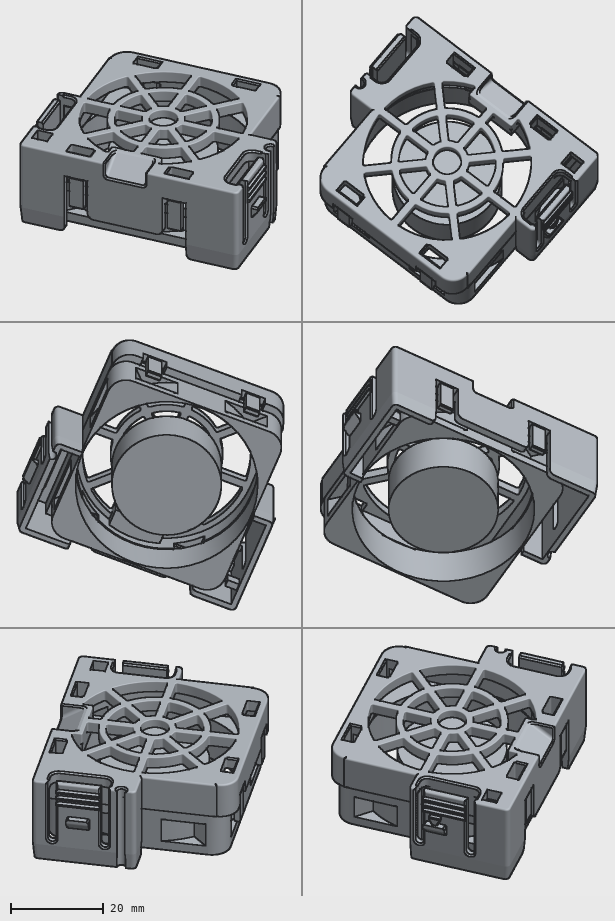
import cadquery as cq
import math


height = 20.0
depth = 43.6
back_y = depth / 2
front_y = -depth / 2
wide_left_x = -24.9
wide_right_x = 26.4
wide_back_y = 1.2
narrow_half_width = 20.05
wide_corner_radius = 1.05
back_corner_radius = 4.0
back_corner_step = 0.2
back_corner_y = 17.8
top_edge_radius = 0.45
foot_height = 3.9
foot_inset = 0.3
foot_back_inset = 0.1

plate_thickness = 2.6
plate_bottom_z = height - plate_thickness
collar_bottom_z = 11.85
wall_inner_y = 20.2
collar_inner = 19.5
collar_corner_radius = 3.25
wing_inner_left_x = -23.25
wing_inner_right_x = 24.7
wing_inner_back_y = -0.05

spoke_count = 8
spoke_width = 1.75
grille_outer_radius = 18.2
ring_outer_radius = 12.15
ring_inner_radius = 10.55
boss_radius = 4.65
boss_recess_radius = 3.1
boss_recess_depth = 2.05
sector_corner_radius = 0.4
grille_edge_radius = 0.2

recess_half_width = 4.75
recess_corner_radius = 0.75
recess_back_y = -16.1
recess_drop = 3.7
recess_rim_chamfer = 0.3
pad_half_width = 5.9
pad_back_y = -14.8
pad_bottom_z = 14.45

window_inner_x = 8.8
window_outer_x = 14.25
window_top_z = 14.45
panel_bottom_z = 4.8
panel_corner_radius = 1.35
foot_corner_radius = 1.25
hook_inner_x = 9.85
hook_outer_x = 13.05
hook_bottom_z = 6.65
hook_setback = 0.15
hook_step = 0.3
hook_tip_chamfer = 0.25
opening_inner_x = 8.95
opening_outer_x = 14.35
opening_inner_y = 17.45
opening_outer_y = 20.05
opening_corner_radius = 0.4
opening_bevel = 0.3

left_clip_y = -7.0
right_clip_y = -11.55
clip_slot_spacing = 11.65
clip_slot_width = 1.85
clip_slot_bottom_z = 4.8
clip_slot_depth = 2.15
clip_slot_chamfer = 0.4
left_bay_inner_x = -20.05
right_bay_inner_x = 21.6
left_bay_corner_radius = 1.6
right_bay_corner_radius = 1.9
bay_bevel = 0.4
rib_count = 3
rib_pitch = 1.55
rib_top_z = 18.05
rib_base = 1.15
rib_tip = 0.3
rib_reach = 0.55
rib_length = 9.65
catch_length = 5.0
catch_reach = 1.45
catch_top_z = 11.85
catch_nose_z = 10.9
catch_bottom_z = 8.95
catch_nose_radius = 0.75
catch_corner_chamfer = 0.4
left_catch_y = -5.0
right_catch_y = -11.5
knob_reach = 1.1
knob_top_z = 13.95
knob_step_z = 13.35
knob_top_width = 2.6
knob_bottom_width = 1.2
knob_chamfer = 0.2

notch_x = 25.95
notch_y = -2.05
notch_radius = 1.0
notch_bevel = 0.4
corner_hole_x = (wing_inner_left_x, -19.7)
corner_hole_y = (-18.3, -15.0)
lug_length = 2.65
lug_y = (-17.15, -15.6)
lug_z = (1.1, foot_height)

fan_side = 40.1
fan_thickness = 10.0
fan_corner_radius = 4.2
fan_flange = 2.2
fan_bore_radius = 19.75
fan_duct_radius = 20.8
fan_corner_rib_width = 6.6
rotor_radius = 11.85


def box(x_range, y_range, z_range):
    """Axis-aligned box between pairs of limits given in either order."""
    (x0, x1), (y0, y1), (z0, z1) = (sorted(r) for r in (x_range, y_range, z_range))
    return cq.Workplane("XY").box(x1 - x0, y1 - y0, z1 - z0, centered=False).translate((x0, y0, z0))


def cylinder(radius, z_range):
    z0, z1 = z_range
    return cq.Workplane("XY").workplane(offset=z0).circle(radius).extrude(z1 - z0)


def wide_block():
    """Wide front part: upright walls above a slightly drafted foot."""
    width = wide_right_x - wide_left_x
    length = wide_back_y - front_y
    centre_x = (wide_left_x + wide_right_x) / 2
    centre_y = (wide_back_y + front_y) / 2
    foot_shift = (foot_inset - foot_back_inset) / 2
    upper = cq.Workplane("XY").workplane(offset=foot_height).center(centre_x, centre_y)
    upper = upper.rect(width, length).extrude(height - foot_height).edges("|Z").fillet(wide_corner_radius)
    sole = cq.Sketch().rect(width - 2 * foot_inset, length - foot_inset - foot_back_inset)
    sole = sole.vertices().fillet(wide_corner_radius)
    seat = cq.Sketch().rect(width, length).vertices().fillet(wide_corner_radius)
    foot = cq.Workplane("XY").placeSketch(
        sole.moved(cq.Location(cq.Vector(centre_x, centre_y + foot_shift, 0))),
        seat.moved(cq.Location(cq.Vector(centre_x, centre_y, foot_height))),
    ).loft()
    return upper.union(foot)


def narrow_block():
    """Collar over the fan, reaching back with two rounded corners."""
    end_half_width = narrow_half_width - back_corner_step
    sides = box(
        (-narrow_half_width, narrow_half_width), (front_y + wide_corner_radius, back_corner_y),
        (collar_bottom_z, height),
    )
    end = box((-end_half_width, end_half_width), (0, back_y), (collar_bottom_z, height))
    end = end.edges("|Z and >Y").fillet(back_corner_radius)
    return sides.union(end)


def ring_sector(inner_radius, outer_radius):
    """Cutter for the openings between the spokes of one ring of the grille."""
    z_range = (plate_bottom_z, height)
    openings = cylinder(outer_radius, z_range).cut(cylinder(inner_radius, z_range))
    for i in range(spoke_count // 2):
        spoke = box(
            (-outer_radius, outer_radius), (-spoke_width / 2, spoke_width / 2), z_range
        )
        openings = openings.cut(spoke.rotate((0, 0, 0), (0, 0, 1), i * 360 / spoke_count))
    pad = box((-pad_half_width, pad_half_width), (front_y, pad_back_y), z_range)
    return openings.cut(pad).edges("|Z").fillet(sector_corner_radius)


def hollow_inside(body):
    """Collar space above the fan, a square bay around the fan and a pocket in each side wing."""
    collar_space = box((-collar_inner, collar_inner), (0, collar_inner), (0, plate_bottom_z))
    collar_space = collar_space.edges("|Z and >Y").fillet(collar_corner_radius)
    collar_space = collar_space.union(cylinder(collar_inner, (0, plate_bottom_z)))
    body = body.cut(collar_space)
    body = body.cut(box(
        (-narrow_half_width, narrow_half_width), (-wall_inner_y, back_y), (0, collar_bottom_z)
    ))
    for side, outer_x in ((-1, wing_inner_left_x), (1, wing_inner_right_x)):
        body = body.cut(box(
            (side * narrow_half_width, outer_x), (-wall_inner_y, wing_inner_back_y), (0, plate_bottom_z)
        ))
    return body


def add_grille(body):
    body = body.cut(ring_sector(ring_outer_radius, grille_outer_radius))
    body = body.cut(ring_sector(boss_radius, ring_inner_radius))
    body = body.cut(cylinder(boss_recess_radius, (height - boss_recess_depth, height)))
    rims = [edge for wire in body.faces(">Z").val().innerWires() for edge in wire.Edges()]
    return body.newObject(rims).fillet(grille_edge_radius)


def finger_recess():
    """Round-bottomed trough that slopes down towards the front."""
    run = recess_back_y - front_y
    overrun = run / 2
    profile = (
        cq.Workplane("XZ")
        .rect(2 * recess_half_width, 2 * height)
        .extrude(run + 2 * overrun)
        .edges("|Y and <Z")
        .fillet(recess_corner_radius)
    )
    slope = math.degrees(math.atan(recess_drop / run))
    return (
        profile.translate((0, overrun, height))
        .rotate((0, 0, 0), (1, 0, 0), slope)
        .translate((0, recess_back_y, height))
    )


def add_finger_recess(body):
    pad = box(
        (-pad_half_width, pad_half_width), (-wall_inner_y, pad_back_y), (pad_bottom_z, plate_bottom_z)
    )
    body = body.union(pad).cut(finger_recess())
    trough = cq.selectors.BoxSelector(
        (-pad_half_width, front_y - 0.55, height - recess_drop - 0.55),
        (pad_half_width, recess_back_y + 0.55, height + 0.55),
    )
    return body.faces(">Z or <Y").edges(trough).chamfer(recess_rim_chamfer)


def bottom_corners(body, half_width, z):
    """The two edges through the front wall at X = -half_width and X = half_width."""
    wall_middle_y = (front_y - wall_inner_y) / 2
    edges = body.edges("|Y")
    return [
        edges.edges(cq.selectors.NearestToPointSelector((side * half_width, wall_middle_y, z))).val()
        for side in (-1, 1)
    ]


def cut_windows(body):
    """Open the front wall between the feet and beside its panel, and notch the back wall to match."""
    gap = box((-window_outer_x, window_outer_x), (front_y, 0), (0, panel_bottom_z))
    body = body.cut(gap)
    for side in (-1, 1):
        x_range = (side * window_inner_x, side * window_outer_x)
        body = body.cut(box(x_range, (front_y, back_y), (0, window_top_z)))
    foot_corners = bottom_corners(body, window_outer_x, 0)
    body = body.newObject(foot_corners).fillet(foot_corner_radius)
    panel_corners = bottom_corners(body, window_inner_x, panel_bottom_z)
    return body.newObject(panel_corners).fillet(panel_corner_radius)


def hook(x_side, y_side):
    """Tongue hanging from the top of a window, set back a little from the wall."""
    face_y = back_y - hook_setback
    tongue = (
        cq.Workplane("YZ", origin=(hook_inner_x, 0, 0))
        .polyline([
            (wall_inner_y, window_top_z), (back_y, window_top_z), (face_y, window_top_z - hook_step),
            (face_y, hook_bottom_z), (wall_inner_y, hook_bottom_z),
        ])
        .close()
        .extrude(hook_outer_x - hook_inner_x)
        .edges("|X and <Z")
        .chamfer(hook_tip_chamfer)
    )
    if x_side < 0:
        tongue = tongue.mirror("YZ")
    if y_side < 0:
        tongue = tongue.mirror("XZ")
    return tongue


def tool_opening(x_side, y_side):
    """Opening in the plate beside a hook, bevelled along two of its edges."""
    opening = box(
        (opening_inner_x, opening_outer_x), (opening_inner_y, opening_outer_y),
        (collar_bottom_z, height),
    )
    opening = opening.edges("|Z and <Y").fillet(opening_corner_radius)
    bevel = box(
        (opening_inner_x - opening_bevel, opening_outer_x),
        (opening_inner_y + opening_corner_radius, opening_outer_y + opening_bevel),
        (height - opening_bevel, height + opening_bevel),
    )
    opening = opening.union(bevel.faces("<Z").edges("<X or >Y").chamfer(opening_bevel))
    if x_side < 0:
        opening = opening.mirror("YZ")
    if y_side < 0:
        opening = opening.mirror("XZ")
    return opening


def add_hooks(body):
    for x_side in (-1, 1):
        for y_side in (-1, 1):
            body = body.union(hook(x_side, y_side))
            body = body.cut(tool_opening(x_side, y_side))
    return body


def clip_slot(outer_x, side, y):
    """Round-bottomed slot through a side wall, open at the top and bevelled outside."""
    def profile(width):
        return (
            cq.Workplane("YZ", origin=(outer_x, y, clip_slot_bottom_z + clip_slot_width / 2))
            .moveTo(-width / 2, height)
            .lineTo(-width / 2, 0)
            .threePointArc((0, -width / 2), (width / 2, 0))
            .lineTo(width / 2, height)
            .close()
        )

    bevel = profile(clip_slot_width + 2 * clip_slot_chamfer).extrude(-side * clip_slot_chamfer, taper=45)
    return profile(clip_slot_width).extrude(-side * clip_slot_depth).union(bevel)


def bevelled(cutter, bevel):
    """Widen the top rim of an upright cutter at 45 degrees."""
    rim = cutter.faces(">Z").wires().toPending().workplane().offset2D(bevel)
    return cutter.union(rim.extrude(-bevel, taper=45, combine=False))


def clip_bay(inner_x, wall_x, y, corner_radius):
    """Opening in the plate behind a clip, as long as the clip and its two slots."""
    half = (clip_slot_spacing + clip_slot_width) / 2
    bay = box((inner_x, wall_x), (y - half, y + half), (plate_bottom_z, height))
    bay = bay.edges("|Z").edges("<X" if inner_x < wall_x else ">X").fillet(corner_radius)
    return bevelled(bay, bay_bevel)


def clip_rib(outer_x, side, y, z):
    """Grip rib with sloping flanks."""
    return (
        cq.Workplane("XZ", origin=(outer_x, y + rib_length / 2, z))
        .polyline([
            (0, rib_base / 2), (side * rib_reach, rib_tip / 2),
            (side * rib_reach, -rib_tip / 2), (0, -rib_base / 2),
        ])
        .close()
        .extrude(rib_length)
    )


def clip_catch(outer_x, side, y):
    """Wedge with a flat top and clipped corners that holds the clip in its mating part."""
    tip_x = outer_x + side * catch_reach
    wedge = (
        cq.Workplane("XZ", origin=(0, y + catch_length / 2, 0))
        .polyline([
            (outer_x, catch_top_z), (tip_x, catch_top_z), (tip_x, catch_nose_z), (outer_x, catch_bottom_z)
        ])
        .close()
        .extrude(catch_length)
    )
    nose = cq.selectors.NearestToPointSelector((tip_x, y, catch_nose_z))
    wedge = wedge.edges("|Y").edges(nose).fillet(catch_nose_radius)
    outline = box(
        (outer_x, tip_x), (y - catch_length / 2, y + catch_length / 2), (catch_bottom_z, catch_top_z)
    )
    return wedge.intersect(outline.edges("|X").chamfer(catch_corner_chamfer))


def clip_knob():
    """Small release knob above the left catch, narrowing downwards."""
    return (
        cq.Workplane("YZ", origin=(wide_left_x, left_catch_y, 0))
        .polyline([
            (-knob_top_width / 2, knob_top_z), (knob_top_width / 2, knob_top_z),
            (knob_top_width / 2, knob_step_z), (knob_bottom_width / 2, catch_top_z),
            (-knob_bottom_width / 2, catch_top_z), (-knob_top_width / 2, knob_step_z),
        ])
        .close()
        .extrude(-knob_reach)
        .faces("<X")
        .chamfer(knob_chamfer)
    )


def add_clip(body, side, outer_x, wall_x, bay_x, bay_corner_radius, clip_y, catch_y):
    body = body.cut(clip_bay(bay_x, wall_x, clip_y, bay_corner_radius))
    for end in (-1, 1):
        body = body.cut(clip_slot(outer_x, side, clip_y + end * clip_slot_spacing / 2))
    for i in range(rib_count):
        body = body.union(clip_rib(outer_x, side, clip_y, rib_top_z - i * rib_pitch))
    return body.union(clip_catch(outer_x, side, catch_y))


def make_housing():
    body = wide_block().union(narrow_block())
    body = body.faces(">Z").edges().fillet(top_edge_radius)
    body = hollow_inside(body)
    body = add_finger_recess(body)
    body = add_grille(body)
    body = cut_windows(body)
    body = add_hooks(body)
    body = add_clip(
        body, -1, wide_left_x, wing_inner_left_x, left_bay_inner_x, left_bay_corner_radius,
        left_clip_y, left_catch_y,
    )
    body = add_clip(
        body, 1, wide_right_x, wing_inner_right_x, right_bay_inner_x, right_bay_corner_radius,
        right_clip_y, right_catch_y,
    )
    body = body.union(clip_knob())
    notch = bevelled(cylinder(notch_radius, (0, height)), notch_bevel)
    body = body.cut(notch.translate((notch_x, notch_y, 0)))
    body = body.cut(box(corner_hole_x, corner_hole_y, (plate_bottom_z, height)))
    lug = box((wing_inner_left_x, wing_inner_left_x + lug_length), lug_y, lug_z)
    return body.union(lug)


def make_fan_frame():
    """Square fan frame: two flanges joined by a round duct and four corner ribs."""
    bottom_z = collar_bottom_z - fan_thickness
    half = fan_side / 2
    z_range = (bottom_z, collar_bottom_z)
    waist_z = (bottom_z + fan_flange, collar_bottom_z - fan_flange)
    block = box((-half, half), (-half, half), z_range).edges("|Z").fillet(fan_corner_radius)
    core = cylinder(fan_duct_radius, waist_z)
    for angle in (45, 135):
        rib = box((-fan_side, fan_side), (-fan_corner_rib_width / 2, fan_corner_rib_width / 2), waist_z)
        core = core.union(rib.rotate((0, 0, 0), (0, 0, 1), angle))
    pockets = box((-half, half), (-half, half), waist_z).cut(core)
    return block.cut(pockets).cut(cylinder(fan_bore_radius, z_range))


def make_rotor():
    return cylinder(rotor_radius, (collar_bottom_z - fan_thickness, collar_bottom_z))


housing = make_housing()
fan_frame = make_fan_frame()
rotor = make_rotor()

result = cq.Compound.makeCompound([
    housing.solids().val(),
    fan_frame.solids().val(),
    rotor.val(),
])